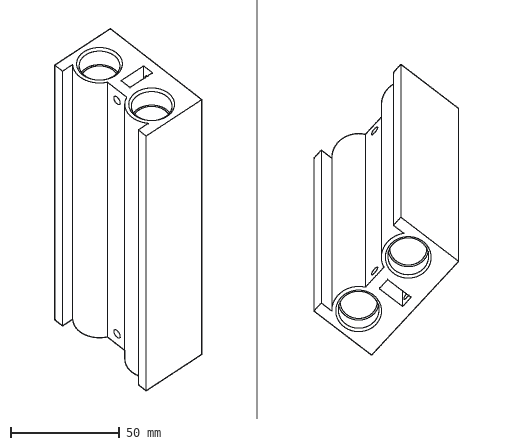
import cadquery as cq

width = 62.5
depth = 35.0
length = 168.0
back_y = depth / 2

rail_width = 5.4
web_depth = 24.5

bore_offset = 17.8
bore_y = back_y - 19.2
tube_radius = 12.5
bore_radius = 8.5
port_radius = 9.4
port_depth = 10.0
port_chamfer = 1.2

slot_width = 6.0
slot_back_wall = 5.0

mount_diameter = 4.4
mount_inset = 7.0


def bar_between_y(size_x, front_y, rear_y):
    """Full-length bar, centred on X and Z, between two Y positions."""
    middle_y = (front_y + rear_y) / 2
    return cq.Workplane("XY").box(size_x, rear_y - front_y, length).translate((0, middle_y, 0))


def cylinders_at_bores(radius):
    """Pair of full-length cylinders on the bore axes."""
    return (
        cq.Workplane("XY")
        .pushPoints([(-bore_offset, bore_y), (bore_offset, bore_y)])
        .circle(radius)
        .extrude(length / 2, both=True)
    )


def port_cutter(side, end):
    """Chamfered counterbore of one bore at one end of the block."""
    rim_radius = port_radius + port_chamfer
    end_z = length / 2
    floor_z = end_z - port_depth
    cutter = (
        cq.Workplane("XZ")
        .moveTo(0, floor_z)
        .lineTo(port_radius, floor_z)
        .lineTo(port_radius, end_z - port_chamfer)
        .lineTo(rim_radius, end_z)
        .lineTo(0, end_z)
        .close()
        .revolve(360, (0, 0, 0), (0, 1, 0))
    )
    if end < 0:
        cutter = cutter.mirror("XY")
    return cutter.translate((side * bore_offset, bore_y, 0))


channel = bar_between_y(width - 2 * rail_width, -depth / 2, back_y - web_depth)
body = cq.Workplane("XY").box(width, depth, length).cut(channel)
body = body.union(cylinders_at_bores(tube_radius))

body = body.cut(cylinders_at_bores(bore_radius))
for side in (-1, 1):
    for end in (-1, 1):
        body = body.cut(port_cutter(side, end))

body = body.cut(bar_between_y(slot_width, bore_y, back_y - slot_back_wall))

mount_z = length / 2 - mount_inset
mount_holes = (
    cq.Workplane("XZ")
    .pushPoints([(0, -mount_z), (0, mount_z)])
    .circle(mount_diameter / 2)
    .extrude(depth, both=True)
)

result = body.cut(mount_holes)